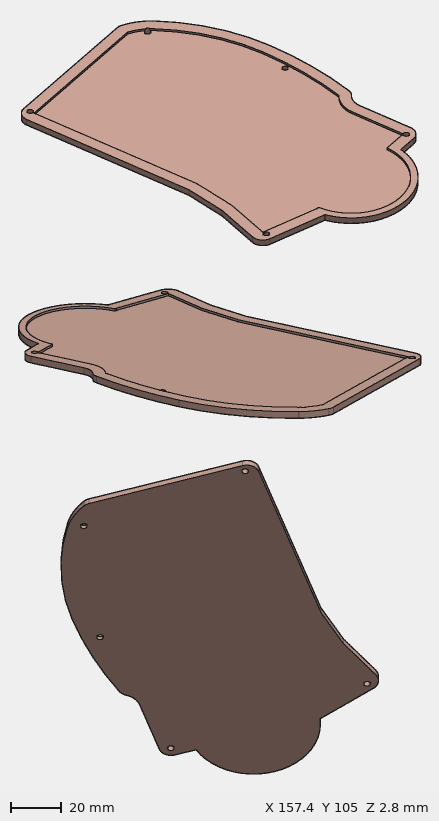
import cadquery as cq
import math

DEPTH = 105.0
THICKNESS = 2.8
POCKET_DEPTH = 1.0
RIM_WIDTH = 5.0
HOLE_DIAMETER = 2.5

LENGTH = 157.4
LOBE_OUTER_RADIUS = 26.5
LOBE_RIM_WIDTH = 3.0
LOBE_X = LENGTH - LOBE_OUTER_RADIUS
LOBE_Y = 54.3

LEFT_X = RIM_WIDTH
BOTTOM_Y = 15.6
RIGHT_X = 131.8
SHOULDER_Y = 88.8
BEND_START = (83.9, BOTTOM_Y)
BEND_END = (103.1, 12.1)
LOWER_TIP = (123.1, 5.0)
LOWER_RIGHT = (RIGHT_X, 29.9)

APEX_X = 55.9
APEX_Y = DEPTH - RIM_WIDTH
LEFT_CROWN_RADIUS = 81.9
RIGHT_CROWN_RADIUS = 152.7
CROWN_START_X = 11.6
CROWN_END_X = 96.7

CORNER_START = (LEFT_X, 79.5)
CORNER_MIDDLE = (7.7, 83.5)
HOLLOW_MIDDLE = (101.4, 90.2)
HOLLOW_END_X = 107.0

HOLE_CENTERS = [(3.1, 15.6), (10.7, 85.2), (68.5, 97.5), (132.9, 89.3), (124.8, 5.0)]


def crown_point(x):
    """Point of the crown at a given x."""
    radius = LEFT_CROWN_RADIUS if x < APEX_X else RIGHT_CROWN_RADIUS
    return (x, APEX_Y - radius + math.sqrt(radius**2 - (x - APEX_X) ** 2))


def main_outline():
    """Closed outline of the main pocket, without the lobe."""
    return (
        cq.Workplane("XY")
        .moveTo(LEFT_X, BOTTOM_Y)
        .lineTo(*CORNER_START)
        .threePointArc(CORNER_MIDDLE, crown_point(CROWN_START_X))
        .threePointArc(crown_point((CROWN_START_X + APEX_X) / 2), (APEX_X, APEX_Y))
        .threePointArc(crown_point((APEX_X + CROWN_END_X) / 2), crown_point(CROWN_END_X))
        .threePointArc(HOLLOW_MIDDLE, (HOLLOW_END_X, SHOULDER_Y))
        .lineTo(RIGHT_X, SHOULDER_Y)
        .lineTo(*LOWER_RIGHT)
        .lineTo(*LOWER_TIP)
        .lineTo(*BEND_END)
        .lineTo(*BEND_START)
        .close()
    )


def lobe(radius, height):
    return cq.Workplane("XY").center(LOBE_X, LOBE_Y).circle(radius).extrude(height)


plate = main_outline().offset2D(RIM_WIDTH, "arc").extrude(THICKNESS)
plate = plate.union(lobe(LOBE_OUTER_RADIUS, THICKNESS))

pocket = main_outline().extrude(POCKET_DEPTH)
pocket = pocket.union(lobe(LOBE_OUTER_RADIUS - LOBE_RIM_WIDTH, POCKET_DEPTH))
pocket = pocket.translate((0, 0, THICKNESS - POCKET_DEPTH))

holes = cq.Workplane("XY").pushPoints(HOLE_CENTERS).circle(HOLE_DIAMETER / 2).extrude(THICKNESS)

result = plate.cut(pocket).cut(holes)